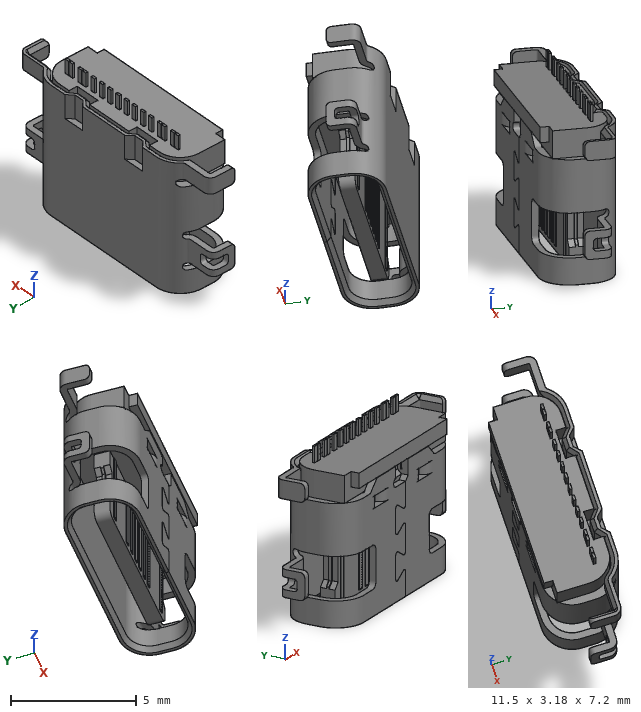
import cadquery as cq
import math


shell_width = 8.93
shell_depth = 3.16
shell_corner_radius = 1.28
sheet = 0.3
ring_top = 5.31
flange_top = 6.5
pin_top = 7.2
overall_width = 11.54

window_bottom, window_top = 1.15, 3.05
window_inner_x = 2.18
window_corner_radius = 0.25
relief_height = 0.35
lower_relief_offset = 0.51
upper_relief_height = 0.38
upper_relief_offset = 0.31
clip_x = 1.79
clip_width, clip_height, clip_bottom = 1.22, 0.52, 4.58
clip_depth = 0.35
clip_floor_width = 0.35
mouth_bevel_height, mouth_bevel_depth = 0.23, 0.16

upper_tab_offset = 0.57
lower_tab_offset = 0.74
leg_end_offset = 1.92
tab_bend_radius = 0.36
inner_bend_radius = tab_bend_radius - sheet
leg_corner_radius = 0.21
tab_root_radius = 0.17
tab_hole_height = 0.53
tab_hole_plate_length = 0.45
tab_hole_leg_end = 1.57
tab_hole_radius = 0.15

dent_depth = 0.29
dent_x = 1.81
dent_outer_widths = (1.06, 0.48)
dent_inner_widths = (1.27, 0.55)
dent_pocket_width = 1.25
dent_pocket_offset = 0.74
lead_in_height = 0.21
lead_in_depth = 0.15

lip_base_half, lip_top_half, lip_top = 2.63, 2.09, 5.8
lip_root_radius = 0.17
seam_left, seam_right = -0.57, 0.25
seam_gap = 0.006
seam_radius = 0.13
dovetail_centers = (1.5, 3.49)
dovetail_wide_half, dovetail_narrow_half = 0.72, 0.22
notch_slot_bottom, notch_slot_top = 4.92, 5.29
notch_slot_left, notch_right = -0.73, 0.45
ledge_depth = 0.18

housing_half_width = 4.14
housing_corner_radius = 1.13
housing_bottom = 3.92
housing_front_offset = 2.82
bar_half_width = 3.59
bar_bottom = 5.84
bar_overhang = 0.02

tongue_half_width = 3.3
tongue_thickness = 0.67
tongue_bottom = 0.35
tongue_tip_radius = 0.35
mid_plate_thickness = 0.13
mid_plate_overhang = 0.08
notch_depth = 0.27
notch_bottom, notch_top = 1.45, 2.87
contact_slots = (0.5, 1.5, 2.5, 5.5)
contact_width, contact_step = 0.24, 0.03
contact_bottom = 0.58

pin_width, pin_thickness = 0.22, 0.1
pin_offset = 0.96
pin_pitch = 0.5
single_pin_slots = (0.5, 1.5, 2.5, 3.5)
pair_gap = 0.03
pair_positions = (2.4, 3.2)

back_y = shell_depth / 2
front_y = -back_y
corner_x = shell_width / 2 - shell_corner_radius
inner_radius = shell_corner_radius - sheet
cut_reach = 2 * overall_width
full_round = 0.49
selection_reach = 0.03


def from_back(offset):
    """Y position at a distance inward from the back of the shell."""
    return back_y - offset


def block(x0, x1, y0, y1, z0, z1):
    """Box between two corners."""
    return cq.Workplane("XY").box(x1 - x0, y1 - y0, z1 - z0, centered=False).translate((x0, y0, z0))


def both_sides(solid):
    """The solid together with its mirror image across the YZ plane."""
    return solid.union(solid.mirror("YZ"))


def rounded_prism(z0, z1, inset=0.0):
    """Prism with the shell section, moved inward by an inset."""
    section = cq.Workplane("XY", origin=(0, 0, z0)).rect(shell_width - 2 * inset, shell_depth - 2 * inset)
    return section.extrude(z1 - z0).edges("|Z").fillet(shell_corner_radius - inset)


def shell_tube(z0, z1):
    return rounded_prism(z0, z1).cut(rounded_prism(z0, z1, sheet))


def tapered_from(prism, height, growth):
    """Prism on the bottom outline of another one, its sides moving outward by a growth over the height."""
    bottom = prism.faces("<Z")
    base = cq.Workplane("XY", origin=(0, 0, bottom.val().Center().z))
    taper = math.degrees(math.atan(growth / height))
    return base.add(bottom.wires().vals()).toPending().extrude(height, taper=-taper)


def side_relief(z0, height, start_offset, end_offset):
    """Slot across the whole width with a round end toward the back."""
    slot = block(-cut_reach, cut_reach, from_back(end_offset), from_back(start_offset), z0, z0 + height)
    return slot.edges("|X and >Y").fillet(full_round * height)


def arc_x(radius, offset):
    """X position of a back corner arc at a distance from the back of the shell."""
    return corner_x + math.sqrt(radius**2 - (shell_corner_radius - offset) ** 2)


def board_tab(offset, z0, z1):
    """Tab on +X: a plate leaving the shell corner, bent toward the front into a leg."""
    outer_x = overall_width / 2
    y_outer = from_back(offset)
    y_inner = from_back(offset + sheet)
    y_end = from_back(leg_end_offset)
    root_x = arc_x(inner_radius, offset + sheet)
    tab = (
        cq.Workplane("XY", origin=(0, 0, z0))
        .moveTo(root_x, y_outer)
        .lineTo(outer_x - tab_bend_radius, y_outer)
        .radiusArc((outer_x, y_outer - tab_bend_radius), tab_bend_radius)
        .lineTo(outer_x, y_end)
        .lineTo(outer_x - sheet, y_end)
        .lineTo(outer_x - sheet, y_inner - inner_bend_radius)
        .radiusArc((outer_x - tab_bend_radius, y_inner), -inner_bend_radius)
        .lineTo(root_x, y_inner)
        .close()
        .extrude(z1 - z0)
    )
    return tab.edges("|X and <Y").fillet(leg_corner_radius)


def edge_box(x, offset, z0, z1):
    """Selector for an upright edge at a distance from the back of the shell."""
    y = from_back(offset)
    low_corner = (x - selection_reach, y - selection_reach, z0)
    high_corner = (x + selection_reach, y + selection_reach, z1)
    return cq.selectors.BoxSelector(low_corner, high_corner)


def round_tab_roots(shell, offset, z0, z1):
    """Round both faces of a tab pair where its plates leave the shell."""
    outer_root = (arc_x(shell_corner_radius, offset), offset, tab_root_radius)
    inner_root = (arc_x(inner_radius, offset + sheet), offset + sheet, tab_root_radius + sheet)
    for root_x, root_offset, radius in (outer_root, inner_root):
        for x in (-root_x, root_x):
            shell = shell.edges("|Z").edges(edge_box(x, root_offset, z0, z1)).fillet(radius)
    return shell


def trapezoid(center_x, outer_offset, inner_offset, widths, z0, z1):
    """Prism narrowing from an outer to an inner distance from the back of the shell."""
    wide, narrow = (width / 2 for width in widths)
    points = [
        (center_x - wide, from_back(outer_offset)),
        (center_x + wide, from_back(outer_offset)),
        (center_x + narrow, from_back(inner_offset)),
        (center_x - narrow, from_back(inner_offset)),
    ]
    return cq.Workplane("XY", origin=(0, 0, z0)).polyline(points).close().extrude(z1 - z0)


def lead_in_cut():
    """Tapered cut bevelling the inner top edge of the flange, dents and +X upper tab."""
    tab_inner = upper_tab_offset + sheet
    end_x = arc_x(inner_radius, tab_inner)
    leg_x = overall_width / 2 - sheet
    dent_bottom = sheet + dent_depth
    clear_y = from_back(leg_end_offset + 2 * lead_in_depth)
    wide, narrow = (width / 2 for width in dent_inner_widths)
    outline = (
        cq.Workplane("XY", origin=(0, 0, flange_top - lead_in_height))
        .moveTo(-end_x, clear_y)
        .lineTo(-end_x, from_back(tab_inner))
        .radiusArc((-corner_x, from_back(sheet)), inner_radius)
    )
    for center_x in (-dent_x, dent_x):
        outline = (
            outline.lineTo(center_x - wide, from_back(sheet))
            .lineTo(center_x - narrow, from_back(dent_bottom))
            .lineTo(center_x + narrow, from_back(dent_bottom))
            .lineTo(center_x + wide, from_back(sheet))
        )
    outline = (
        outline.lineTo(corner_x, from_back(sheet))
        .radiusArc((end_x, from_back(tab_inner)), inner_radius)
        .lineTo(leg_x, from_back(tab_inner))
        .lineTo(leg_x, clear_y)
        .close()
    )
    core = outline.extrude(lead_in_height)
    tab_root = edge_box(end_x, tab_inner, flange_top - lead_in_height, flange_top)
    core = core.edges("|Z").edges(tab_root).fillet(tab_root_radius + sheet)
    return tapered_from(core, lead_in_height, lead_in_depth)


def make_flange():
    """Back wall above the ring, with its two dents, upper tabs and bevelled inner edge."""
    tab_bottom = ring_top + upper_relief_height
    tab_inner = upper_tab_offset + sheet
    wall_zone = block(-cut_reach, cut_reach, from_back(tab_inner), back_y, ring_top, flange_top)
    flange = shell_tube(ring_top, flange_top).intersect(wall_zone)
    flange = flange.cut(side_relief(ring_top, upper_relief_height, upper_relief_offset, shell_depth))
    for x in (-dent_x, dent_x):
        bulge_end = sheet + dent_depth
        flange = flange.union(trapezoid(x, sheet, bulge_end, dent_inner_widths, ring_top, flange_top))
        flange = flange.cut(trapezoid(x, 0, dent_depth, dent_outer_widths, ring_top, flange_top))
    flange = flange.union(both_sides(board_tab(upper_tab_offset, tab_bottom, flange_top)))
    flange = round_tab_roots(flange, upper_tab_offset, tab_bottom, flange_top)
    return flange.cut(lead_in_cut())


def make_lower_tab(z0, z1):
    """Lower tab on +X with a slot running around its bend."""
    mid_z = (z0 + z1) / 2
    slot_x = overall_width / 2 - sheet - tab_hole_plate_length
    slot = block(
        slot_x,
        cut_reach,
        from_back(tab_hole_leg_end),
        back_y,
        mid_z - tab_hole_height / 2,
        mid_z + tab_hole_height / 2,
    )
    slot = slot.edges("(|Y and <X) or (|X and <Y)").fillet(tab_hole_radius)
    return board_tab(lower_tab_offset, z0, z1).cut(slot)


def mouth_bevel_cut():
    """Tapered cut opening the inner edge of the mouth."""
    core = rounded_prism(0, mouth_bevel_height, sheet - mouth_bevel_depth)
    return tapered_from(core, mouth_bevel_height, -mouth_bevel_depth)


def make_ring():
    """Closed part of the shell with its side windows and lower tabs."""
    tab_bottom = window_bottom + relief_height
    tab_top = window_top - relief_height
    tab_inner = lower_tab_offset + sheet
    ring = shell_tube(0, ring_top)
    ring = ring.cut(mouth_bevel_cut())
    window = block(window_inner_x, cut_reach, -cut_reach, from_back(tab_inner), window_bottom, window_top)
    ring = ring.cut(both_sides(window.edges("|Y and <X").fillet(window_corner_radius)))
    for z in (window_bottom, tab_top):
        ring = ring.cut(side_relief(z, relief_height, lower_relief_offset, shell_depth / 2))
    ring = ring.union(both_sides(make_lower_tab(tab_bottom, tab_top)))
    return round_tab_roots(ring, lower_tab_offset, tab_bottom, tab_top)


def make_lip():
    """Trapezoidal extension of the front wall above the ring."""
    points = [
        (-lip_base_half, ring_top),
        (lip_base_half, ring_top),
        (lip_top_half, lip_top),
        (-lip_top_half, lip_top),
    ]
    return cq.Workplane("XZ", origin=(0, front_y + sheet, 0)).polyline(points).close().extrude(sheet)


def make_housing():
    """Moulded body filling the shell, its head above the ring and the front bar."""
    body = rounded_prism(housing_bottom, ring_top, sheet)
    head = block(
        -housing_half_width,
        housing_half_width,
        from_back(housing_front_offset),
        from_back(sheet),
        ring_top,
        flange_top,
    )
    head = head.edges("|Z and >Y").fillet(housing_corner_radius)
    bar_front = front_y - bar_overhang
    bar_back = from_back(housing_front_offset)
    bar = block(-bar_half_width, bar_half_width, bar_front, bar_back, bar_bottom, flange_top)
    housing = body.union(head).union(bar)
    for x in (-dent_x, dent_x):
        half = dent_pocket_width / 2
        pocket = block(x - half, x + half, from_back(dent_pocket_offset), back_y, ring_top, flange_top)
        housing = housing.cut(pocket)
    return housing


def tongue_layer(thickness, overhang):
    """Plate with a latch notch in each long side."""
    wide = tongue_half_width
    narrow = wide - notch_depth + overhang
    ramp = wide - narrow
    right = [
        (wide, tongue_bottom),
        (wide, notch_bottom - ramp),
        (narrow, notch_bottom),
        (narrow, notch_top),
        (wide, notch_top + ramp),
        (wide, housing_bottom),
    ]
    left = [(-x, z) for x, z in reversed(right)]
    outline = cq.Workplane("XZ", origin=(0, thickness / 2, 0)).polyline(right + left).close()
    return outline.extrude(thickness).edges("|Y").edges("<Z").fillet(tongue_tip_radius)


def make_tongue():
    tongue = tongue_layer(tongue_thickness, 0).union(tongue_layer(mid_plate_thickness, mid_plate_overhang))
    half_y = tongue_thickness / 2 + contact_step
    half_x = contact_width / 2
    for slot in contact_slots:
        x = slot * pin_pitch
        contact = block(x - half_x, x + half_x, -half_y, half_y, contact_bottom, housing_bottom)
        tongue = tongue.union(both_sides(contact))
    return tongue


def make_pins():
    """Row of eight single pins with two close pairs at each end."""
    singles = [slot * pin_pitch for slot in single_pin_slots]
    pair_shift = (pin_width + pair_gap) / 2
    pairs = [x + side * pair_shift for x in pair_positions for side in (-1, 1)]
    pins = cq.Workplane("XY")
    for x in singles + pairs:
        pin = block(
            x - pin_width / 2,
            x + pin_width / 2,
            from_back(pin_offset + pin_thickness),
            from_back(pin_offset),
            flange_top,
            pin_top,
        )
        pins = pins.union(both_sides(pin))
    return pins


def clip_pocket(center_x):
    """Front pocket with two rounded lips rolling in to a narrow flat floor."""
    half = clip_width / 2
    half_floor = clip_floor_width / 2
    run = half - half_floor
    lip_radius = (run**2 + clip_depth**2) / (2 * clip_depth)
    floor_y = front_y + clip_depth
    return (
        cq.Workplane("XY", origin=(center_x, 0, clip_bottom))
        .moveTo(-half, front_y)
        .radiusArc((-half_floor, floor_y), -lip_radius)
        .lineTo(half_floor, floor_y)
        .radiusArc((half, front_y), -lip_radius)
        .close()
        .extrude(clip_height)
    )


def seam_cut():
    """Hairline joint of the rolled sheet: a straight line with two dovetails."""
    far = overall_width
    points = [(seam_right, -far)]
    for z in dovetail_centers:
        points += [
            (seam_right, z - dovetail_narrow_half),
            (seam_left, z - dovetail_wide_half),
            (seam_left, z + dovetail_wide_half),
            (seam_right, z + dovetail_narrow_half),
        ]
    points += [(seam_right, far), (far, far), (far, -far)]
    sheet_back = cq.Workplane("XZ", origin=(0, front_y + sheet, 0))
    half = sheet_back.polyline(points).close().extrude(sheet).edges("|Y").fillet(seam_radius)
    grown = half.faces("<Y").wires().toPending().offset2D(seam_gap).extrude(-sheet, combine=False)
    seam_zone = block(notch_slot_left, notch_right, front_y, front_y + sheet, 0, notch_slot_bottom)
    return grown.cut(half).intersect(seam_zone)


def seam_notch_cut():
    """Opening at the top of the seam, with a sloping ledge in the housing behind it."""
    sheet_back_y = front_y + sheet
    slot_height = notch_slot_top - notch_slot_bottom
    slot = block(notch_slot_left, notch_right, front_y, sheet_back_y, notch_slot_bottom, notch_slot_top)
    slot = slot.edges("|Y and <X").fillet(full_round * slot_height)
    slot = slot.edges("|Y and >X and <Z").chamfer(notch_right - seam_right)
    throat = block(seam_left, notch_right, front_y, sheet_back_y, notch_slot_top, bar_bottom)
    ledge = (
        cq.Workplane("YZ", origin=(seam_left, 0, 0))
        .moveTo(sheet_back_y, notch_slot_top - ledge_depth)
        .lineTo(sheet_back_y + ledge_depth, notch_slot_top)
        .lineTo(sheet_back_y + ledge_depth, bar_bottom)
        .lineTo(sheet_back_y, bar_bottom)
        .close()
        .extrude(notch_right - seam_left)
    )
    return slot.union(throat).union(ledge)


def round_lip_roots(body):
    """Round the concave corners where the lip rises from the ring."""
    for x in (-lip_base_half, lip_base_half):
        corner = cq.selectors.BoxSelector(
            (x - selection_reach, front_y, ring_top - selection_reach),
            (x + selection_reach, front_y + sheet, ring_top + selection_reach),
        )
        body = body.edges("|Y").edges(corner).fillet(lip_root_radius)
    return body


shell = round_lip_roots(make_ring().union(make_lip())).union(make_flange())
result = shell.union(make_housing()).union(make_tongue()).union(make_pins())
for side in (-1, 1):
    result = result.cut(clip_pocket(side * clip_x))
result = result.cut(seam_cut()).cut(seam_notch_cut())